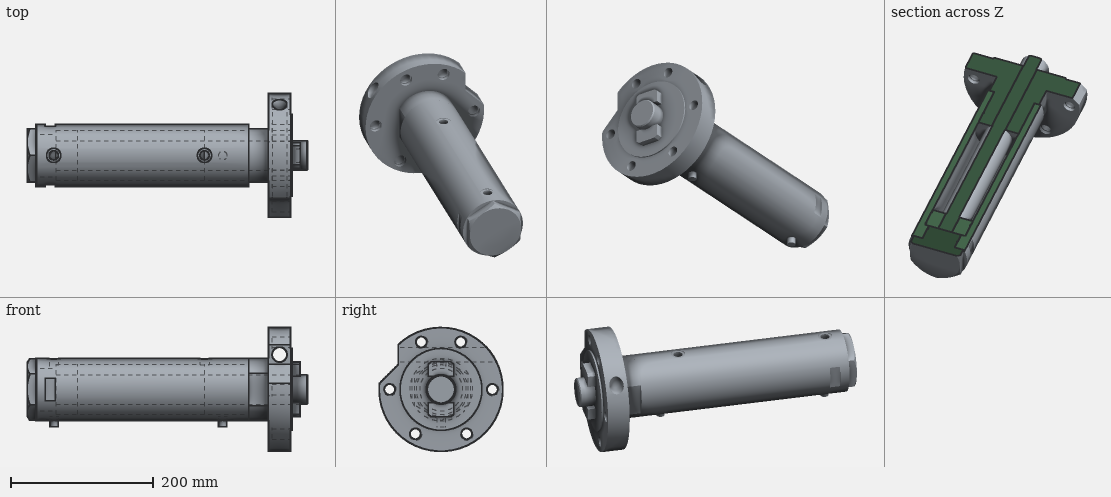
import cadquery as cq
import math

hex_length = 12.0
collar_length = 2.0
barrel_start = hex_length + collar_length
neck_start = 311.5
flange_start = 338.8
flange_thickness = 31.2
flange_end = flange_start + flange_thickness
spigot_length = 2.3
spigot_end = flange_end + spigot_length
rod_tip = 394.3

barrel_radius = 44.0
barrel_bore_radius = 35.0
flat_half_width = 37.5
pocket_start = 25.3
pocket_length = 14.5
pocket_half_width = 41.0

port_stations = (37.4, 249.1)
port_radius = 6.5
spotface_radius = 10.0
spotface_height = 42.8

flange_radius = 87.0
spigot_radius = 57.5
notch_y = -60.0
notch_z = 35.0
bolt_circle_radius = 72.0
bolt_angles = (0, 67.5, 112.5, 180, 240, 300)
bolt_hole_radius = 7.4
bolt_recess_radius = 8.75
bolt_recess_depth = 5.0
cross_hole_radius = 10.3
cross_hole_z = 48.8

cap_corner_radius = flat_half_width / math.cos(math.pi / 6)
cap_bevel_length = 4.0
cap_plug_radius = 30.0
cap_plug_end = 40.6

piston_length = 30.0
rod_radius = 20.7
rod_chamfer = 1.5

gland_start = 248.5

pin_stations = (38.1, 274.4)
pin_radius = 6.0
pin_tip_z = -52.7
pin_seat_z = -38.0

lug_length = 10.8
lug_inner_z = 18.4
lug_outer_z = 38.5
lug_half_width = 18.0
lug_corner_y = 4.5
lug_corner_z = 3.4


def disc(radius, start, end):
    """Cylinder about the X axis between two stations."""
    plane = cq.Plane(origin=(start, 0, 0), xDir=(0, 0, 1), normal=(1, 0, 0))
    return cq.Workplane(plane).circle(radius).extrude(end - start)


def upright(radius, x, bottom, top):
    """Vertical cylinder at station x."""
    return cq.Workplane("XY", origin=(x, 0, bottom)).circle(radius).extrude(top - bottom)


def side_block(start, length, inner_y, side):
    """Block that removes all of the barrel beyond inner_y on one side of the axis."""
    depth = barrel_radius
    height = 2 * barrel_radius
    return cq.Workplane("XY").box(length, depth, height).translate(
        (start + length / 2, side * (inner_y + depth / 2), 0)
    )


def make_flange():
    flange = disc(flange_radius, flange_start, flange_end)
    notch = (
        cq.Workplane("YZ", origin=(flange_start, 0, 0))
        .moveTo(notch_y, notch_z)
        .lineTo(notch_y, flange_radius)
        .lineTo(notch_y - flange_radius, flange_radius)
        .lineTo(notch_y - flange_radius, notch_z - flange_radius)
        .close()
        .extrude(flange_thickness)
    )
    flange = flange.cut(notch).union(disc(spigot_radius, flange_end, spigot_end))
    for angle in bolt_angles:
        y = bolt_circle_radius * math.cos(math.radians(angle))
        z = bolt_circle_radius * math.sin(math.radians(angle))
        hole = disc(bolt_hole_radius, flange_start, flange_end)
        recess = disc(bolt_recess_radius, flange_start, flange_start + bolt_recess_depth)
        flange = flange.cut(hole.union(recess).translate((0, y, z)))
    cross_hole = (
        cq.Workplane("XZ", origin=((flange_start + flange_end) / 2, 0, cross_hole_z))
        .circle(cross_hole_radius)
        .extrude(flange_radius, both=True)
    )
    return flange.cut(cross_hole)


def make_lug(side):
    """Block on the spigot face above (side = 1) or below (side = -1) the rod."""
    corner_y = lug_half_width - lug_corner_y
    corner_z = lug_outer_z - lug_corner_z
    return (
        cq.Workplane("YZ", origin=(spigot_end, 0, 0))
        .polyline([
            (-lug_half_width, side * lug_inner_z),
            (lug_half_width, side * lug_inner_z),
            (lug_half_width, side * corner_z),
            (corner_y, side * lug_outer_z),
            (-corner_y, side * lug_outer_z),
            (-lug_half_width, side * corner_z),
        ])
        .close()
        .extrude(lug_length)
    )


def make_head():
    """Flange with a flatted neck, a gland inside the barrel and lugs, bored for the rod."""
    neck = disc(barrel_radius, neck_start, flange_start)
    for side in (-1, 1):
        neck = neck.cut(side_block(neck_start, flange_start - neck_start, flat_half_width, side))
    head = make_flange().union(neck).union(disc(barrel_bore_radius, gland_start, neck_start))
    for side in (-1, 1):
        head = head.union(make_lug(side))
    return head.cut(disc(rod_radius, gland_start, rod_tip))


def make_barrel(pins):
    """Tube with two wrench pockets, two ports on top and seats for the dowel pins."""
    barrel = disc(barrel_radius, barrel_start, neck_start)
    for side in (-1, 1):
        barrel = barrel.cut(side_block(pocket_start, pocket_length, pocket_half_width, side))
    barrel = barrel.cut(disc(cap_plug_radius, barrel_start, cap_plug_end))
    barrel = barrel.cut(disc(barrel_bore_radius, cap_plug_end, neck_start))
    for x in port_stations:
        barrel = barrel.cut(upright(port_radius, x, 0, barrel_radius))
        barrel = barrel.cut(upright(spotface_radius, x, spotface_height, barrel_radius))
    for pin in pins:
        barrel = barrel.cut(pin)
    return barrel


def make_cap():
    """Hexagon-headed cap with a collar and a plug that closes the barrel."""
    hexagon = (
        cq.Workplane("YZ")
        .transformed(rotate=(0, 0, 90))
        .polygon(6, 2 * cap_corner_radius)
        .extrude(hex_length)
    )
    bevel = (
        cq.Workplane("XY")
        .moveTo(0, 0)
        .lineTo(0, flat_half_width)
        .lineTo(cap_bevel_length, cap_corner_radius)
        .lineTo(hex_length, cap_corner_radius)
        .lineTo(hex_length, 0)
        .close()
        .revolve(360, (0, 0, 0), (1, 0, 0))
    )
    collar = disc(barrel_radius, hex_length, barrel_start)
    plug = disc(cap_plug_radius, barrel_start, cap_plug_end)
    return hexagon.intersect(bevel).union(collar).union(plug)


def make_piston():
    """Ring around the inner end of the rod."""
    piston_end = cap_plug_end + piston_length
    ring = disc(barrel_bore_radius, cap_plug_end, piston_end)
    return ring.cut(disc(rod_radius, cap_plug_end, piston_end))


def make_rod():
    """Rod from the piston face to the chamfered tip beyond the lugs."""
    return disc(rod_radius, cap_plug_end, rod_tip).faces(">X").chamfer(rod_chamfer)


pins = [upright(pin_radius, x, pin_tip_z, pin_seat_z) for x in pin_stations]
barrel = make_barrel(pins)
head = make_head()
cap = make_cap()
piston = make_piston()
rod = make_rod()

result = cq.Compound.makeCompound(
    [body.val() for body in (barrel, head, cap, piston, rod, *pins)]
)